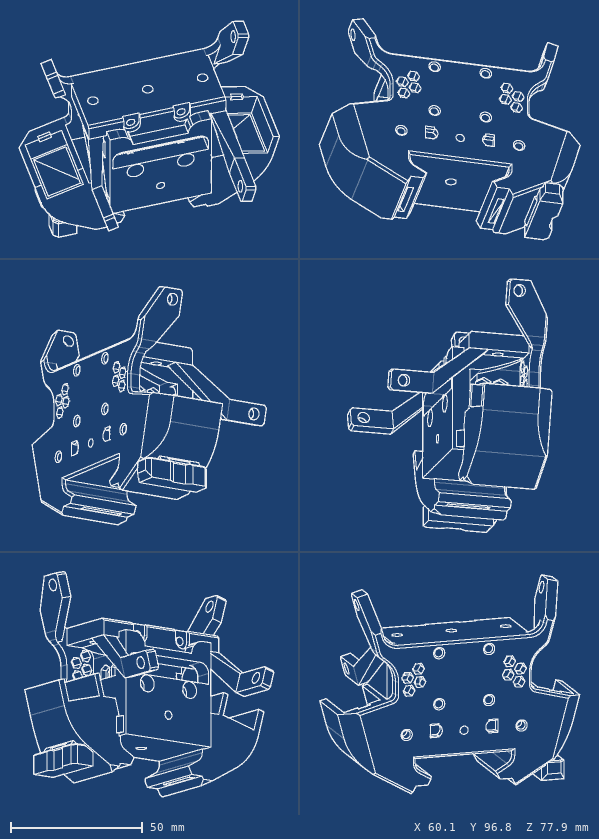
import cadquery as cq
import math


TILT = math.radians(15)
JAW_SLOPE = math.radians(30)
PLATE_DEPTH = 4.8
BODY_DEPTH = 28.6
EDGE_CHAMFER = 1.0
EMBED = 1.0
REACH = 96.8
MIRROR_PLANE = "XZ"

TOP_Z = 58.7
WAIST_HALF_WIDTH = 27.1
HALF_WIDTH = 48.4
DUCT_CORNER = (HALF_WIDTH, 31.8)
DUCT_SIDE = 10.1
ARM_THICKNESS = 4.4
ARM_TIP = (35.9, 77.9)
ARM_OUTER_CORNER = (34.1, 54.8)
SHOULDER_Z = 49.3
ARM_FILLET = 5.8
ARM_ELBOW_FILLET = 5.3
SHOULDER_FILLET = 9.7
WAIST_FILLET = 2.3
JAW_LOW_Y = 20.9
JAW_HIGH_Y = 35.8
CURVE_MIDDLE = (41.8, 14.1)
JAW_STEP = (19.2, 3.1)
JAW_END_Y = 14.4
JAW_LIP = (12.8, 6.2)
NOTCH_HALF_WIDTH = 19.3
NOTCH_TOP_Z = 13.6
NOTCH_FILLET = 3.9
DUCT_BEVEL = 6.8

ARM_DEPTH = 16.1
ARM_BEVEL = (8.0, 13.8)
ARM_KNEE_DROP = 9.9
ARM_ROOT_DROP = 25.4
ARM_END_CHAMFER = 1.0
ARM_HOLE_D = 4.5
ARM_HOLE_X = 12.1
ARM_HOLE_DROP = 4.2

SLAB_BOTTOM_Z = 52.1
SLAB_HOLE_D = 4.0
SLAB_HOLE_X = 15.7
SLAB_HOLE_PITCH = 21.7
BLOCK_REAR_X = 21.8
BLOCK_HALF_WIDTH = 14.5
BLOCK_BOTTOM_Z = 38.5
BLOCK_FILLET = 3.7
CROSS_HOLE_D = 3.2
CROSS_HOLE_Z = 41.5
CROSS_HOLE_X = (12.4, 19.1)
NUT_WIDTH = 5.5
NUT_SHOULDER_Z = 43.4
NUT_PEAK_Z = 44.8
NUT_DEPTH = 2.4
FRAME_FRONT_X = 26.2
FRAME_REAR_X = 33.2
FRAME_HALF_WIDTH = 20.0
FRAME_TOP_Z = 54.2
FRAME_SCOOP_HALF_WIDTH = 10.9
FRAME_SCOOP_RADIUS = 5.2
WINDOW_HALF_WIDTH = 18.9
WINDOW_BOTTOM_Z = 37.9
WINDOW_TOP_Z = 46.0
WINDOW_FILLET = 3.9
GUSSET_MIDDLE = (16.0, 47.7)
GUSSET_FLAT_X = 21.8
WEDGE_BOTTOM_Z = 14.7
WEDGE_TOP_Z = 21.1
WEDGE_DEPTH = 2.9
WEDGE_WIDTH = 1.2

REAR_ARM_ROOT = ((21.0, 21.3), (BODY_DEPTH, 27.3))
REAR_ARM_START_X = 43.5
REAR_ARM_END_X = 60.1
REAR_ARM_TOP = (26.2, 41.2)
REAR_ARM_THICKNESS = 4.1
REAR_ARM_HEIGHT = 7.9
REAR_ARM_HOLE_X = 55.0

VALLEY_FLOOR_Z = 28.1
VALLEY_GUTTER_Z = 22.0
VALLEY_FLOOR_Y = 21.7
VALLEY_WALL_Y = 27.0
RECESS_FRONT_X = 6.7
RECESS_WALL = 2.6
RECESS_END = 17.5
RECESS_DEPTH = 8.6
FAN_LEDGE_FRONT = 0.9
FAN_LEDGE_REAR = 1.2
DUCT_OUTLET_Y = (16.5, 18.7)
DUCT_OUTLET_X = (7.55, 24.2)
TAB_SLOT_X = 5.0
TAB_SLOT_Y = (35.8, 40.5)
TAB_SLOT_DEPTH = 1.5
LOWER_REAR_CHAMFER = (3.1, 1.9)

SCREW_D = 3.2
SCREW_SINK_D = 4.5
SCREW_HEAD_D = 6.5
SCREW_HEAD_X = 26.8
SCREW_Y = 10.0
SCREW_Z = (34.55, 54.6)
INSERT_SINK_D = 4.5
INSERT_D = 3.2
INSERT_DEPTH = 4.8
INSERT_PLACE = (22.9, 23.5)
CENTRE_HOLE_Z = 23.5
D_SLOT_Y = (8.7, 13.5)
D_SLOT_Z = (22.0, 26.2)
D_SLOT_DEPTH = 2.9
D_SLOT_BULGE = 1.3
D_SLOT_MOUTH = 0.7
HEX_ACROSS_FLATS = 4.1
HEX_PLACES = ((18.2, 49.1), (22.55, 45.9), (17.6, 43.8), (22.0, 40.7))

FOOT_X = (0.0, 27.5)
FOOT_Y = (31.5, 40.5)
FOOT_Z = (0.7, 8.5)
FOOT_CORNER = 1.7
FOOT_TOP_CHAMFER = 0.5
FOOT_FRONT_BEVEL = (1.9, 2.9)
FOOT_WAIST_X = (10.3, 20.3)
FOOT_WAIST_DEPTH = 1.55
FOOT_WAIST_SLOPE = 2.3
STUB_X = (6.7, 24.2)
STUB_OUTLINE = ((30.4, 6.0), (31.5, 3.7), (39.5, 8.5), (38.3, 10.3), (34.8, 11.6))
STUB_SLOT_X = (10.55, 19.9)
STUB_SLOT_Z = 9.9
STUB_SLOT_Y = 38.1


def box(x_range, y_range, z_range):
    """Axis-aligned box between pairs of coordinates."""
    size = (x_range[1] - x_range[0], y_range[1] - y_range[0], z_range[1] - z_range[0])
    corner = cq.Vector(x_range[0], y_range[0], z_range[0])
    return cq.Workplane(obj=cq.Solid.makeBox(*size, corner))


def yz_prism(points, x_start, x_end):
    """Polygon of (y, z) points extruded between two x places."""
    return cq.Workplane("YZ", origin=(x_start, 0, 0)).polyline(points).close().extrude(x_end - x_start)


def xz_prism(points, y_start, y_end):
    """Polygon of (x, z) points extruded from one y place to another."""
    return cq.Workplane("XZ", origin=(0, y_start, 0)).polyline(points).close().extrude(y_start - y_end)


def x_cylinder(diameter, y, z, x_start, x_end):
    return cq.Workplane("YZ", origin=(x_start, y, z)).circle(diameter / 2).extrude(x_end - x_start)


def both_sides(shape):
    """The shape together with its mirror image at -y."""
    return shape.union(shape.mirror(MIRROR_PLANE))


def leaning(start, across, down):
    """Point reached from start by going outward across and then down in the tilted frame."""
    y = start[0] + across * math.cos(TILT) - down * math.sin(TILT)
    z = start[1] - across * math.sin(TILT) - down * math.cos(TILT)
    return (y, z)


def line_to_round(path, before, corner, after, radius):
    """Extend the path by a line and a tangent arc that rounds the corner."""
    point = cq.Vector(*corner)
    back = (cq.Vector(*before) - point).normalized()
    ahead = (cq.Vector(*after) - point).normalized()
    half_angle = back.getAngle(ahead) / 2
    setback = radius / math.tan(half_angle)
    middle = point + (back + ahead).normalized() * (radius / math.sin(half_angle) - radius)
    start = point + back * setback
    end = point + ahead * setback
    return path.lineTo(start.x, start.y).threePointArc((middle.x, middle.y), (end.x, end.y))


def half_outline():
    """Closed outline of the +y half of the faceplate."""
    arm_tip_outer = leaning(ARM_TIP, ARM_THICKNESS, 0)
    arm_root = (ARM_TIP[0] - (ARM_TIP[1] - TOP_Z) * math.tan(TILT), TOP_Z)
    shoulder = (WAIST_HALF_WIDTH, SHOULDER_Z)
    waist_z = DUCT_CORNER[1] + (HALF_WIDTH - WAIST_HALF_WIDTH) * math.tan(TILT)
    waist = (WAIST_HALF_WIDTH, waist_z)
    duct_side_end = leaning(DUCT_CORNER, 0, DUCT_SIDE)
    jaw_high = (JAW_HIGH_Y, (JAW_HIGH_Y - JAW_LOW_Y) * math.tan(JAW_SLOPE))
    notch_z = JAW_LIP[1] + (NOTCH_HALF_WIDTH - JAW_LIP[0]) * math.tan(JAW_SLOPE)
    notch_corner = (NOTCH_HALF_WIDTH, notch_z)
    notch_top = (NOTCH_HALF_WIDTH, NOTCH_TOP_Z)

    path = cq.Workplane("YZ").moveTo(0, TOP_Z)
    path = line_to_round(path, (0, TOP_Z), arm_root, ARM_TIP, ARM_FILLET)
    path = path.lineTo(*ARM_TIP).lineTo(*arm_tip_outer)
    path = line_to_round(path, arm_tip_outer, ARM_OUTER_CORNER, shoulder, ARM_ELBOW_FILLET)
    path = line_to_round(path, ARM_OUTER_CORNER, shoulder, waist, SHOULDER_FILLET)
    path = line_to_round(path, shoulder, waist, DUCT_CORNER, WAIST_FILLET)
    path = path.lineTo(*DUCT_CORNER).lineTo(*duct_side_end)
    path = path.threePointArc(CURVE_MIDDLE, jaw_high)
    path = path.lineTo(JAW_LOW_Y, 0).lineTo(*JAW_STEP).lineTo(JAW_END_Y, JAW_STEP[1]).lineTo(*JAW_LIP)
    path = line_to_round(path, JAW_LIP, notch_corner, notch_top, NOTCH_FILLET)
    return path.lineTo(*notch_top).lineTo(0, NOTCH_TOP_Z).close()


def faceplate():
    """Front plate with its front edges chamfered, apart from the ends of the jaws and arms."""
    plate = both_sides(half_outline().extrude(PLATE_DEPTH))

    def is_chamfered(edge):
        centre = edge.Center()
        at_jaw_end = centre.z < JAW_LIP[1] and abs(centre.y) < JAW_LOW_Y
        at_arm_tip = centre.z > ARM_TIP[1] - ARM_THICKNESS
        return not at_jaw_end and not at_arm_tip

    front_edges = [edge for edge in plate.faces("<X").edges().vals() if is_chamfered(edge)]
    return plate.newObject(front_edges).chamfer(EDGE_CHAMFER)


def arm_plane():
    """Inner face of the +y front arm: local x is X, local y runs down from the tip."""
    return cq.Plane(origin=(0, *ARM_TIP), xDir=(1, 0, 0), normal=(0, math.cos(TILT), -math.sin(TILT)))


def front_arm():
    """Leaning arm at +y, which deepens from the faceplate toward its holed end."""
    profile = [
        (EMBED, 0),
        (ARM_DEPTH - ARM_END_CHAMFER, 0),
        (ARM_DEPTH, ARM_END_CHAMFER),
        (ARM_DEPTH, ARM_KNEE_DROP),
        (PLATE_DEPTH, ARM_ROOT_DROP),
        (EMBED, ARM_BEVEL[1]),
    ]
    arm = cq.Workplane(arm_plane()).polyline(profile).close().extrude(ARM_THICKNESS)
    return arm.intersect(half_outline().extrude(ARM_DEPTH))


def arm_bevel():
    """Waste in front of the +y arm."""
    length, drop = ARM_BEVEL
    triangle = [(-length, 2 * drop), (2 * length, -drop), (-length, -drop)]
    waste = cq.Workplane(arm_plane()).polyline(triangle).close()
    return waste.extrude(2 * ARM_THICKNESS, both=True)


def arm_hole(x, centre):
    """Hole square to an arm that leans by the tilt, centred at a (y, z) point."""
    direction = cq.Vector(0, math.cos(TILT), -math.sin(TILT))
    middle = cq.Vector(x, *centre)
    start = middle - direction * ARM_THICKNESS
    return cq.Workplane(obj=cq.Solid.makeCylinder(ARM_HOLE_D / 2, 2 * ARM_THICKNESS, start, direction))


def top_slab():
    slab = box(
        (EMBED, BODY_DEPTH),
        (-WAIST_HALF_WIDTH, WAIST_HALF_WIDTH),
        (SLAB_BOTTOM_Z, TOP_Z),
    )
    return slab.edges(">X and >Z").chamfer(EDGE_CHAMFER)


def hanging_block():
    """Block under the slab with flared top, two cross holes and nut pockets in both sides."""
    side = BLOCK_HALF_WIDTH
    flare_z = SLAB_BOTTOM_Z - BLOCK_FILLET
    arc_drop = BLOCK_FILLET * (1 - math.sqrt(0.5))
    outline = cq.Workplane("YZ", origin=(EMBED, 0, 0)).moveTo(0, BLOCK_BOTTOM_Z)
    outline = outline.lineTo(side, BLOCK_BOTTOM_Z).lineTo(side, flare_z)
    outline = outline.threePointArc(
        (side + arc_drop, SLAB_BOTTOM_Z - arc_drop), (side + BLOCK_FILLET, SLAB_BOTTOM_Z)
    )
    block = both_sides(outline.lineTo(0, SLAB_BOTTOM_Z).close().extrude(BLOCK_REAR_X - EMBED))
    for x in CROSS_HOLE_X:
        hole = cq.Workplane("XZ", origin=(x, 0, CROSS_HOLE_Z)).circle(CROSS_HOLE_D / 2)
        pocket = [
            (x - NUT_WIDTH / 2, BLOCK_BOTTOM_Z),
            (x + NUT_WIDTH / 2, BLOCK_BOTTOM_Z),
            (x + NUT_WIDTH / 2, NUT_SHOULDER_Z),
            (x, NUT_PEAK_Z),
            (x - NUT_WIDTH / 2, NUT_SHOULDER_Z),
        ]
        block = block.cut(hole.extrude(REACH, both=True))
        block = block.cut(both_sides(xz_prism(pocket, side - NUT_DEPTH, side)))
    return block


def rear_frame():
    """Plate behind the body with a window and a scooped top edge."""
    frame = box(
        (FRAME_FRONT_X, FRAME_REAR_X),
        (-FRAME_HALF_WIDTH, FRAME_HALF_WIDTH),
        (NOTCH_TOP_Z, FRAME_TOP_Z),
    )
    scoop_floor_z = FRAME_TOP_Z - FRAME_SCOOP_RADIUS
    rim_y = FRAME_SCOOP_HALF_WIDTH + FRAME_SCOOP_RADIUS
    arc_middle = (
        rim_y - FRAME_SCOOP_RADIUS * math.sqrt(0.5),
        scoop_floor_z + FRAME_SCOOP_RADIUS * math.sqrt(0.5),
    )
    scoop = cq.Workplane("YZ", origin=(BODY_DEPTH, 0, 0)).moveTo(0, scoop_floor_z)
    scoop = scoop.lineTo(FRAME_SCOOP_HALF_WIDTH, scoop_floor_z)
    scoop = scoop.threePointArc(arc_middle, (rim_y, FRAME_TOP_Z)).lineTo(0, FRAME_TOP_Z).close()
    window = box(
        (FRAME_FRONT_X, FRAME_REAR_X),
        (-WINDOW_HALF_WIDTH, WINDOW_HALF_WIDTH),
        (WINDOW_BOTTOM_Z, WINDOW_TOP_Z),
    )
    frame = frame.cut(both_sides(scoop.extrude(FRAME_REAR_X - BODY_DEPTH)))
    return frame.cut(window.edges("|X and >Z").fillet(WINDOW_FILLET))


def ceiling_gusset():
    """Curved web between the slab and the rear frame."""
    profile = cq.Workplane("XZ", origin=(0, FRAME_HALF_WIDTH, 0)).moveTo(PLATE_DEPTH, SLAB_BOTTOM_Z)
    profile = profile.threePointArc(GUSSET_MIDDLE, (GUSSET_FLAT_X, WINDOW_TOP_Z))
    profile = profile.lineTo(FRAME_FRONT_X, WINDOW_TOP_Z).lineTo(FRAME_FRONT_X, SLAB_BOTTOM_Z)
    return profile.close().extrude(2 * FRAME_HALF_WIDTH)


def frame_wedge():
    """Small wedge at +y between the lower rear of the body and the side of the frame."""
    base = cq.Workplane("XY", origin=(0, 0, WEDGE_BOTTOM_Z)).moveTo(BODY_DEPTH, FRAME_HALF_WIDTH)
    base = base.lineTo(BODY_DEPTH + WEDGE_DEPTH, FRAME_HALF_WIDTH)
    base = base.lineTo(BODY_DEPTH, FRAME_HALF_WIDTH + WEDGE_WIDTH).close()
    return base.extrude(WEDGE_TOP_Z - WEDGE_BOTTOM_Z)


def rear_arm():
    """Holed tab at +y on a twisted stem that grows out of the underside of the slab."""
    top_inner = REAR_ARM_TOP
    top_outer = leaning(top_inner, REAR_ARM_THICKNESS, 0)
    low_inner = leaning(top_inner, 0, REAR_ARM_HEIGHT)
    low_outer = leaning(top_inner, REAR_ARM_THICKNESS, REAR_ARM_HEIGHT)
    section = [low_inner, low_outer, top_outer, top_inner]
    tab = yz_prism(section, REAR_ARM_START_X, REAR_ARM_END_X)
    across_tab = cq.Vector(0, math.cos(TILT), -math.sin(TILT))
    tab = tab.faces(">X").edges(cq.selectors.ParallelDirSelector(across_tab)).chamfer(EDGE_CHAMFER)

    (front_x, inner_y), (rear_x, outer_y) = REAR_ARM_ROOT
    root = [(front_x, inner_y), (front_x, outer_y), (rear_x, outer_y), (rear_x, inner_y)]
    root_wire = cq.Wire.makePolygon([cq.Vector(x, y, SLAB_BOTTOM_Z) for x, y in root], close=True)
    tab_wire = cq.Wire.makePolygon([cq.Vector(REAR_ARM_START_X, y, z) for y, z in section], close=True)
    stem = cq.Workplane(obj=cq.Solid.makeLoft([root_wire, tab_wire], True))
    centre = leaning(top_inner, REAR_ARM_THICKNESS / 2, REAR_ARM_HEIGHT / 2)
    return tab.union(stem).cut(arm_hole(REAR_ARM_HOLE_X, centre))


def lower_body():
    """Both duct housings and the core between them, still without fan recesses."""
    wall_top_z = DUCT_CORNER[1] + (HALF_WIDTH - WAIST_HALF_WIDTH) * math.tan(TILT)
    below = box((EMBED, BODY_DEPTH), (0, HALF_WIDTH), (0, wall_top_z))
    body = half_outline().extrude(BODY_DEPTH).intersect(below)

    wall_high_y = VALLEY_WALL_Y + (WINDOW_BOTTOM_Z - VALLEY_FLOOR_Z) * math.tan(TILT)
    valley = [
        (FRAME_HALF_WIDTH, VALLEY_GUTTER_Z),
        (VALLEY_FLOOR_Y, VALLEY_FLOOR_Z),
        (VALLEY_WALL_Y, VALLEY_FLOOR_Z),
        (wall_high_y, WINDOW_BOTTOM_Z),
        (FRAME_HALF_WIDTH, WINDOW_BOTTOM_Z),
    ]
    body = body.cut(yz_prism(valley, PLATE_DEPTH, BODY_DEPTH))
    chamfer_x, chamfer_z = LOWER_REAR_CHAMFER
    rear_corner = [(BODY_DEPTH - chamfer_x, 0), (BODY_DEPTH, 0), (BODY_DEPTH, chamfer_z)]
    body = body.cut(xz_prism(rear_corner, 0, HALF_WIDTH))
    return both_sides(body)


def duct_cavity():
    """Fan recess, tapering air duct and tab slot at +y."""
    inner_end = -RECESS_END
    recess = [
        leaning(DUCT_CORNER, -RECESS_WALL, -RECESS_DEPTH),
        leaning(DUCT_CORNER, inner_end, -RECESS_DEPTH),
        leaning(DUCT_CORNER, inner_end, RECESS_DEPTH),
        leaning(DUCT_CORNER, -RECESS_WALL, RECESS_DEPTH),
    ]
    cavity = yz_prism(recess, RECESS_FRONT_X, BODY_DEPTH)

    outer = leaning(DUCT_CORNER, -RECESS_WALL - FAN_LEDGE_FRONT, RECESS_DEPTH)
    inner = leaning(DUCT_CORNER, inner_end + FAN_LEDGE_FRONT, RECESS_DEPTH)
    inlet_x = (RECESS_FRONT_X + FAN_LEDGE_FRONT, BODY_DEPTH - FAN_LEDGE_REAR)
    inlet = [
        cq.Vector(inlet_x[0], *inner),
        cq.Vector(inlet_x[0], *outer),
        cq.Vector(inlet_x[1], *outer),
        cq.Vector(inlet_x[1], *inner),
    ]
    outlet = [
        cq.Vector(DUCT_OUTLET_X[0], DUCT_OUTLET_Y[0], JAW_STEP[1]),
        cq.Vector(DUCT_OUTLET_X[0], DUCT_OUTLET_Y[1], JAW_STEP[1]),
        cq.Vector(DUCT_OUTLET_X[1], DUCT_OUTLET_Y[1], JAW_STEP[1]),
        cq.Vector(DUCT_OUTLET_X[1], DUCT_OUTLET_Y[0], JAW_STEP[1]),
    ]
    wires = [cq.Wire.makePolygon(points, close=True) for points in (inlet, outlet)]
    cavity = cavity.union(cq.Workplane(obj=cq.Solid.makeLoft(wires, True)))

    slot_ends = [-(HALF_WIDTH - y) / math.cos(TILT) for y in TAB_SLOT_Y]
    slot = [
        leaning(DUCT_CORNER, slot_ends[0], -TAB_SLOT_DEPTH),
        leaning(DUCT_CORNER, slot_ends[1], -TAB_SLOT_DEPTH),
        leaning(DUCT_CORNER, slot_ends[1], TAB_SLOT_DEPTH),
        leaning(DUCT_CORNER, slot_ends[0], TAB_SLOT_DEPTH),
    ]
    return cavity.union(yz_prism(slot, TAB_SLOT_X, RECESS_FRONT_X))


def duct_bevel():
    """Waste at the front outer edge of the +y duct, at 45 degrees to its leaning side."""
    frame = cq.Plane(
        origin=(0, *leaning(DUCT_CORNER, 0, -REACH)),
        xDir=(1, 0, 0),
        normal=(0, -math.sin(TILT), -math.cos(TILT)),
    )
    triangle = [
        (-DUCT_BEVEL, 2 * DUCT_BEVEL),
        (2 * DUCT_BEVEL, -DUCT_BEVEL),
        (-DUCT_BEVEL, -DUCT_BEVEL),
    ]
    return cq.Workplane(frame).polyline(triangle).close().extrude(2 * REACH)


def sunk_hole(diameter, sink_diameter, y, z, depth):
    """Hole along x with a 45-degree sink at the faceplate."""
    sink_depth = (sink_diameter - diameter) / 2
    sink = cq.Solid.makeCone(
        sink_diameter / 2, diameter / 2, sink_depth, cq.Vector(0, y, z), cq.Vector(1, 0, 0)
    )
    return x_cylinder(diameter, y, z, 0, depth).union(cq.Workplane(obj=sink))


def faceplate_holes():
    """Screw, insert, wire and latch openings at +y, all running along x."""
    holes = sunk_hole(INSERT_D, INSERT_SINK_D, *INSERT_PLACE, INSERT_DEPTH)
    for z in SCREW_Z:
        holes = holes.union(sunk_hole(SCREW_D, SCREW_SINK_D, SCREW_Y, z, REACH))
        holes = holes.union(x_cylinder(SCREW_HEAD_D, SCREW_Y, z, SCREW_HEAD_X, REACH))
    head_range = (SCREW_Y - SCREW_HEAD_D / 2, SCREW_Y + SCREW_HEAD_D / 2)
    holes = holes.union(box((SCREW_HEAD_X, REACH), head_range, (SCREW_Z[1], REACH)))
    for y, z in HEX_PLACES:
        hexagon = cq.Workplane("YZ", origin=(0, y, z)).polygon(6, HEX_ACROSS_FLATS / math.cos(math.pi / 6))
        holes = holes.union(hexagon.extrude(PLATE_DEPTH))
    middle_z = sum(D_SLOT_Z) / 2
    d_slot = cq.Workplane("YZ").moveTo(D_SLOT_Y[0] + D_SLOT_BULGE, D_SLOT_Z[0])
    d_slot = d_slot.threePointArc((D_SLOT_Y[0], middle_z), (D_SLOT_Y[0] + D_SLOT_BULGE, D_SLOT_Z[1]))
    d_slot = d_slot.lineTo(D_SLOT_Y[1], D_SLOT_Z[1]).lineTo(D_SLOT_Y[1], D_SLOT_Z[0]).close()
    mouth = [
        (0, D_SLOT_Z[0] - D_SLOT_MOUTH / 2),
        (0, D_SLOT_Z[1] + D_SLOT_MOUTH),
        (D_SLOT_MOUTH, D_SLOT_Z[1]),
        (D_SLOT_MOUTH, D_SLOT_Z[0]),
    ]
    mouth_prism = xz_prism(mouth, D_SLOT_Y[1], D_SLOT_Y[0] + D_SLOT_BULGE)
    return holes.union(d_slot.extrude(D_SLOT_DEPTH)).union(mouth_prism)


def make_housing():
    housing = faceplate().union(lower_body())
    housing = housing.union(rear_frame()).union(top_slab()).union(hanging_block()).union(ceiling_gusset())
    for side_part in (front_arm(), rear_arm(), frame_wedge()):
        housing = housing.union(side_part).union(side_part.mirror(MIRROR_PLANE))

    arm_hole_centre = leaning(ARM_TIP, ARM_THICKNESS / 2, ARM_HOLE_DROP)
    side_cuts = (
        arm_hole(ARM_HOLE_X, arm_hole_centre),
        arm_bevel(),
        duct_cavity(),
        duct_bevel(),
        faceplate_holes(),
    )
    for waste in side_cuts:
        housing = housing.cut(waste).cut(waste.mirror(MIRROR_PLANE))
    housing = housing.cut(x_cylinder(SCREW_D, 0, CENTRE_HOLE_Z, 0, REACH))
    for y, bottom_z in ((-SLAB_HOLE_PITCH, SLAB_BOTTOM_Z), (0, 0), (SLAB_HOLE_PITCH, SLAB_BOTTOM_Z)):
        hole = cq.Workplane("XY", origin=(SLAB_HOLE_X, y, bottom_z)).circle(SLAB_HOLE_D / 2)
        housing = housing.cut(hole.extrude(REACH))
    return housing


def make_foot(housing):
    """Waisted block on a stub that sits against the sloping underside of the -y duct."""
    block = box(FOOT_X, FOOT_Y, FOOT_Z)
    block = block.edges("|Z and (>Y or <X)").chamfer(FOOT_CORNER)
    block = block.faces(">Z").edges().chamfer(FOOT_TOP_CHAMFER)

    waist_y = FOOT_Y[1] - FOOT_WAIST_DEPTH
    waist = cq.Workplane("XY").moveTo(FOOT_WAIST_X[0], FOOT_Y[1])
    waist = waist.lineTo(FOOT_WAIST_X[0] + FOOT_WAIST_SLOPE, waist_y)
    waist = waist.lineTo(FOOT_WAIST_X[1] - FOOT_WAIST_SLOPE, waist_y)
    waist = waist.lineTo(FOOT_WAIST_X[1], FOOT_Y[1]).close()
    block = block.cut(waist.extrude(REACH))

    bevel_x, bevel_z = FOOT_FRONT_BEVEL
    bevel = [
        (FOOT_X[0], FOOT_Z[0]),
        (FOOT_X[0] + bevel_x, FOOT_Z[0]),
        (FOOT_X[0], FOOT_Z[0] + bevel_z),
    ]
    block = block.cut(xz_prism(bevel, 0, HALF_WIDTH))

    stub = yz_prism(STUB_OUTLINE, *STUB_X)
    stub = stub.cut(box(STUB_SLOT_X, (STUB_SLOT_Y, HALF_WIDTH), (FOOT_Z[1], STUB_SLOT_Z)))
    return block.union(stub).mirror(MIRROR_PLANE).cut(housing)


housing = make_housing()
foot = make_foot(housing)

result = cq.Compound.makeCompound([housing.val(), foot.val()])